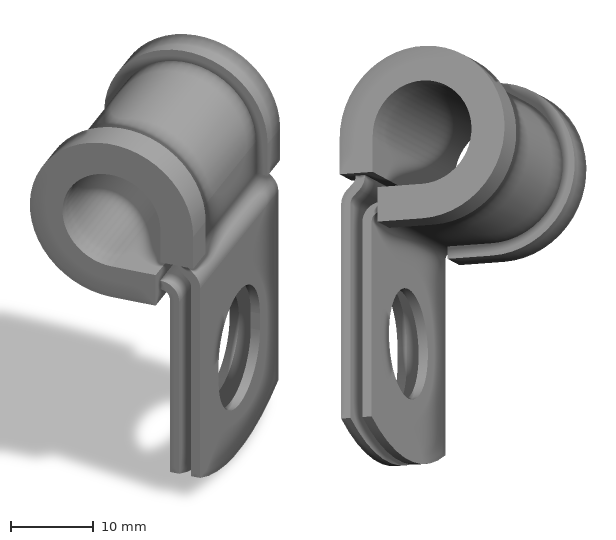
import cadquery as cq
import math

BORE_RADIUS = 6.35
LIP_RADIUS = 10.65
LIP_HEIGHT = 1.55
CUSHION_WIDTH = 28.45
GROOVE_WIDTH = 20.25
UPPER_END_DROP = 4.45
LOWER_END_REACH = 5.75

STRAP_RADIUS = LIP_RADIUS - LIP_HEIGHT
STRAP_THICKNESS = 1.2
STRAP_WIDTH = 25.6
TOTAL_HEIGHT = 47.9
LEG_BOTTOM = LIP_RADIUS - TOTAL_HEIGHT
FRONT_LEG_RIGHT = 8.25
BACK_LEG_RIGHT = 10.95
BEND_INSIDE_RADIUS = 1.2
BEND_OUTSIDE_RADIUS = BEND_INSIDE_RADIUS + STRAP_THICKNESS
JOG_TOP = -5.5
TIP_HEIGHT = 2.95
HOLE_DIAMETER = 13.5
SLOT_LENGTH = 15.8
HOLE_HEIGHT = 14.3

OVERLAP = 0.5


def extrude_along_y(profile, width):
    """Extrude an XZ profile symmetrically about the plane Y = 0."""
    return profile.extrude(width / 2, both=True)


def sleeve(inner_radius, outer_radius, width):
    """C-shaped wall: three quarters of a ring with two straight arms."""
    profile = (
        cq.Workplane("XZ")
        .moveTo(outer_radius, -UPPER_END_DROP)
        .lineTo(outer_radius, 0)
        .threePointArc(arc_middle(outer_radius), (0, -outer_radius))
        .lineTo(LOWER_END_REACH, -outer_radius)
        .lineTo(LOWER_END_REACH, -inner_radius)
        .lineTo(0, -inner_radius)
        .threePointArc(arc_middle(inner_radius), (inner_radius, 0))
        .lineTo(inner_radius, -UPPER_END_DROP)
        .close()
    )
    return extrude_along_y(profile, width)


def arc_middle(radius):
    """Midpoint of the three-quarter arc, at its upper left."""
    return (-radius * math.sqrt(0.5), radius * math.sqrt(0.5))


def cushion():
    body = sleeve(BORE_RADIUS, LIP_RADIUS, CUSHION_WIDTH)
    groove = sleeve(STRAP_RADIUS, LIP_RADIUS, GROOVE_WIDTH)
    return body.cut(groove)


def front_leg():
    """Leg leaving the lower arm horizontally and turning down."""
    left = FRONT_LEG_RIGHT - STRAP_THICKNESS
    top = -STRAP_RADIUS + STRAP_THICKNESS
    start = LOWER_END_REACH - OVERLAP
    bend_x = FRONT_LEG_RIGHT - BEND_OUTSIDE_RADIUS
    bend_z = top - BEND_OUTSIDE_RADIUS
    profile = (
        cq.Workplane("XZ")
        .moveTo(start, top)
        .lineTo(bend_x, top)
        .radiusArc((FRONT_LEG_RIGHT, bend_z), BEND_OUTSIDE_RADIUS)
        .lineTo(FRONT_LEG_RIGHT, LEG_BOTTOM)
        .lineTo(left, LEG_BOTTOM)
        .lineTo(left, bend_z)
        .radiusArc((bend_x, -STRAP_RADIUS), -BEND_INSIDE_RADIUS)
        .lineTo(start, -STRAP_RADIUS)
        .close()
    )
    return extrude_along_y(profile, STRAP_WIDTH)


def back_leg():
    """Leg leaving the upper arm downward with a 45 degree jog to the right."""
    upper_left = STRAP_RADIUS - STRAP_THICKNESS
    lower_left = BACK_LEG_RIGHT - STRAP_THICKNESS
    jog_bottom = JOG_TOP - (lower_left - upper_left)
    right_edge_rise = STRAP_THICKNESS * math.tan(math.radians(22.5))
    start = -UPPER_END_DROP + OVERLAP
    profile = cq.Workplane("XZ").polyline([
        (upper_left, start),
        (STRAP_RADIUS, start),
        (STRAP_RADIUS, JOG_TOP + right_edge_rise),
        (BACK_LEG_RIGHT, jog_bottom + right_edge_rise),
        (BACK_LEG_RIGHT, LEG_BOTTOM),
        (lower_left, LEG_BOTTOM),
        (lower_left, jog_bottom),
        (upper_left, JOG_TOP),
    ]).close()
    leg = extrude_along_y(profile, STRAP_WIDTH)

    bends = [
        (STRAP_RADIUS, JOG_TOP + right_edge_rise, BEND_INSIDE_RADIUS),
        (lower_left, jog_bottom, BEND_INSIDE_RADIUS),
        (upper_left, JOG_TOP, BEND_OUTSIDE_RADIUS),
        (BACK_LEG_RIGHT, jog_bottom + right_edge_rise, BEND_OUTSIDE_RADIUS),
    ]
    for x, z, radius in bends:
        corner = cq.selectors.NearestToPointSelector((x, 0, z))
        leg = leg.edges("|Y").edges(corner).fillet(radius)
    return leg


def leg_outline():
    """Block with the legs' side outline, including the rounded tip."""
    half_width = STRAP_WIDTH / 2
    shoulder = LEG_BOTTOM + TIP_HEIGHT
    return (
        cq.Workplane("YZ")
        .moveTo(-half_width, 0)
        .lineTo(-half_width, shoulder)
        .threePointArc((0, LEG_BOTTOM), (half_width, shoulder))
        .lineTo(half_width, 0)
        .close()
        .extrude(BACK_LEG_RIGHT)
    )


def front_hole():
    return (
        cq.Workplane("YZ")
        .center(0, LEG_BOTTOM + HOLE_HEIGHT)
        .circle(HOLE_DIAMETER / 2)
        .extrude(FRONT_LEG_RIGHT)
    )


def back_slot():
    """Vertical slot, as wide as the front hole and centred on it."""
    return (
        cq.Workplane("YZ")
        .center(0, LEG_BOTTOM + HOLE_HEIGHT)
        .slot2D(SLOT_LENGTH, HOLE_DIAMETER, 90)
        .extrude(BACK_LEG_RIGHT)
    )


legs = front_leg().cut(front_hole()).union(back_leg().cut(back_slot()))
result = cushion().union(legs.intersect(leg_outline()))